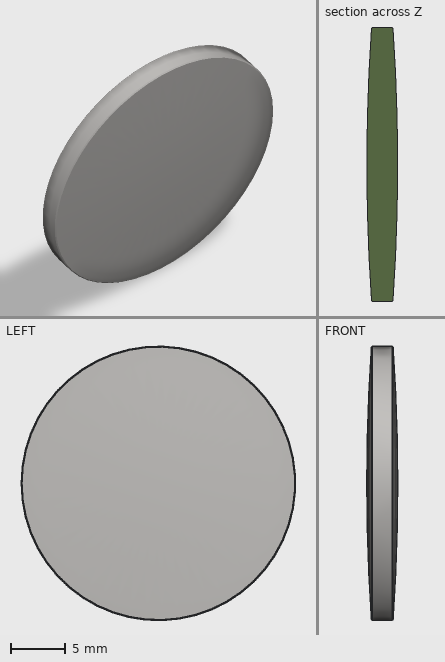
import cadquery as cq

lens_diameter = 25.4
center_thickness = 2.9
rim_width = 1.83
bevel_width = 0.1
bevel_depth = 0.1

rim_radius = lens_diameter / 2
face_radius = rim_radius - bevel_depth
face_edge_x = rim_width / 2 + bevel_width
apex_x = center_thickness / 2

face_height = apex_x - face_edge_x
sphere_radius = (face_radius**2 + face_height**2) / (2 * face_height)

mid_radius = face_radius / 2
mid_x = apex_x - sphere_radius + (sphere_radius**2 - mid_radius**2) ** 0.5

half_section = (
    cq.Workplane("XY")
    .moveTo(-apex_x, 0)
    .threePointArc((-mid_x, mid_radius), (-face_edge_x, face_radius))
    .lineTo(-rim_width / 2, rim_radius)
    .lineTo(rim_width / 2, rim_radius)
    .lineTo(face_edge_x, face_radius)
    .threePointArc((mid_x, mid_radius), (apex_x, 0))
    .close()
)

result = half_section.revolve(360, (0, 0, 0), (1, 0, 0))